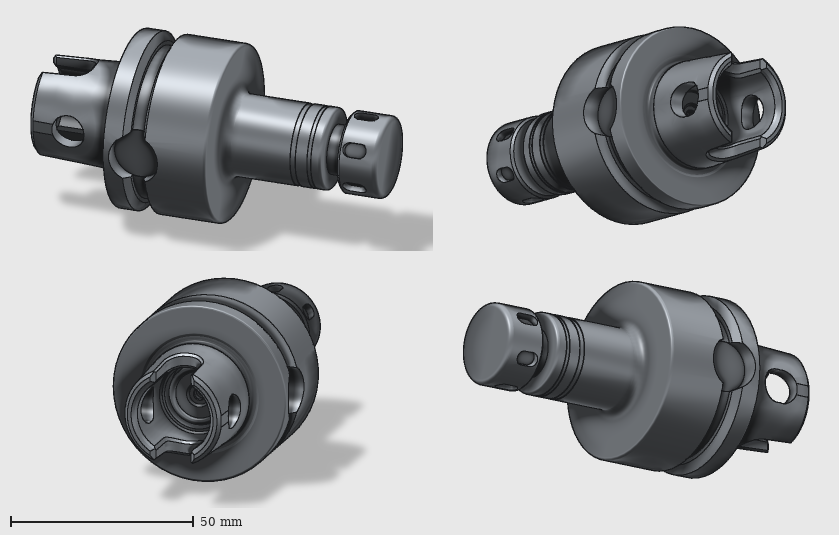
import cadquery as cq
import math

LENGTH = 100.0

ARC_MIDDLE = 1 - math.sqrt(0.5)

SELECT_MARGIN = 0.1

SHANK_TIP_RADIUS = 13.9
SHANK_END_RADIUS = 15.0
SHANK_TIP_CHAMFER = 1.0
TAPER_END = 22.9
RELIEF_START = 23.2
RELIEF_RADIUS = 14.8

BODY_RADIUS = 25.0
FLANGE_FACE = 25.1
GROOVE_START = 32.1
GROOVE_END = 35.8
GROOVE_RADIUS = 21.3
GROOVE_CHAMFER_DEPTH = 2.5
FLANGE_CHAMFER_WIDTH = 1.5
BODY_CHAMFER_WIDTH = 1.3
BODY_END = 55.0
BODY_END_FILLET = 0.9
FLANGE_EDGE_FILLET = 0.5
UNDERCUT_FILLET = 0.8
UNDERCUT_DEPTH = 0.2
UNDERCUT_FLOOR_RADIUS = 16.4
UNDERCUT_RIM_RADIUS = 17.1

NOSE_RADIUS = 11.5
NOSE_FILLET = 2.9
NOSE_END = 83.9
NOSE_END_FILLET = 0.9
RING_GROOVES = ((74.8, 76.3), (79.7, 80.8))
RING_GROOVE_DEPTH = 0.2
NECK_RADIUS = 7.0

NUT_START = 88.3
NUT_RADIUS = 11.5
NUT_BACK_CHAMFER = 0.7
NUT_FRONT_FILLET = 1.5
NUT_SLOT_COUNT = 6
NUT_SLOT_CENTER = 93.0
NUT_SLOT_LENGTH = 6.7
NUT_SLOT_WIDTH = 4.0
NUT_SLOT_DEPTH = 2.0

BORE_RADIUS = 10.5
BORE_CHAMFER_RADIUS = 11.8
BORE_CHAMFER_LENGTH = 0.8
BORE_LEAD_RADIUS = 11.0
BORE_LEAD_LENGTH = 0.8
BORE_STEP = 22.3
BORE_STEP_CHAMFER = 0.6
INNER_BORE_RADIUS = 9.2
BORE_DEPTH = 28.0
PLUG_START = 23.3
PLUG_RADIUS = 8.5
PLUG_DISH_RADIUS = 6.6
PLUG_RECESS_DIAMETER = 7.0
PLUG_RECESS_FLOOR_DIAMETER = 5.7
PLUG_RECESS_DEPTH = 0.7
PLUG_BORE_MOUTH_DIAMETER = 3.5
PLUG_BORE_DIAMETER = 3.0
PLUG_BORE_CHAMFER_DEPTH = 0.3
PLUG_BORE_DEPTH = 2.0
PLUG_TIP_DIAMETER = 1.7
PLUG_TIP_DEPTH = 0.8

DRIVE_SLOT_WIDTH = 10.0
DRIVE_SLOT_END = 13.8
DRIVE_SLOT_CORNER_RADIUS = 3.9
DRIVE_SLOT_MOUTH_CHAMFER = 1.3
DRIVE_SLOT_EDGE_CHAMFER = 0.7

CROSS_HOLE_DIAMETER = 9.5
CROSS_HOLE_CENTER = 11.3
FAR_HOLE_CENTER = 9.6
FLAT_WIDTH = 3.3

POCKET_DIAMETER = 14.2
POCKET_CENTER = 33.9
POCKET_FLOOR = 19.9


def shank_radius(x):
    """Radius of the shank taper at position x."""
    slope = (SHANK_END_RADIUS - SHANK_TIP_RADIUS) / (TAPER_END - SHANK_TIP_CHAMFER)
    return SHANK_TIP_RADIUS + slope * (x - SHANK_TIP_CHAMFER)


def cylinder(start, end, radius):
    return cq.Workplane("YZ", origin=(start, 0, 0)).circle(radius).extrude(end - start)


def revolve_profile(profile):
    return profile.close().revolve(360, (0, 0, 0), (1, 0, 0))


def rim(position, radius):
    """Selector for the circular edge of the given radius at position x."""
    return cq.selectors.BoxSelector(
        (position - SELECT_MARGIN, -radius - SELECT_MARGIN, -radius - SELECT_MARGIN),
        (position + SELECT_MARGIN, radius + SELECT_MARGIN, radius + SELECT_MARGIN),
        boundingbox=True,
    )


def holder_body():
    shoulder = BODY_RADIUS - GROOVE_CHAMFER_DEPTH
    undercut_floor = FLANGE_FACE + UNDERCUT_DEPTH
    undercut_rise = UNDERCUT_FILLET * ARC_MIDDLE
    fillet_rise = NOSE_FILLET * ARC_MIDDLE
    profile = (
        cq.Workplane("XY")
        .lineTo(0, shank_radius(0))
        .lineTo(TAPER_END, SHANK_END_RADIUS)
        .lineTo(RELIEF_START, RELIEF_RADIUS)
        .lineTo(undercut_floor - UNDERCUT_FILLET, RELIEF_RADIUS)
        .threePointArc(
            (undercut_floor - undercut_rise, RELIEF_RADIUS + undercut_rise),
            (undercut_floor, RELIEF_RADIUS + UNDERCUT_FILLET),
        )
        .lineTo(undercut_floor, UNDERCUT_FLOOR_RADIUS)
        .lineTo(FLANGE_FACE, UNDERCUT_RIM_RADIUS)
        .lineTo(FLANGE_FACE, BODY_RADIUS)
        .lineTo(GROOVE_START - FLANGE_CHAMFER_WIDTH, BODY_RADIUS)
        .lineTo(GROOVE_START, shoulder)
        .lineTo(GROOVE_START, GROOVE_RADIUS)
        .lineTo(GROOVE_END, GROOVE_RADIUS)
        .lineTo(GROOVE_END, shoulder)
        .lineTo(GROOVE_END + BODY_CHAMFER_WIDTH, BODY_RADIUS)
        .lineTo(BODY_END, BODY_RADIUS)
        .lineTo(BODY_END, NOSE_RADIUS + NOSE_FILLET)
        .threePointArc(
            (BODY_END + fillet_rise, NOSE_RADIUS + fillet_rise),
            (BODY_END + NOSE_FILLET, NOSE_RADIUS),
        )
        .lineTo(NOSE_END, NOSE_RADIUS)
        .lineTo(NOSE_END, 0)
    )
    body = revolve_profile(profile)
    for position, radius, fillet in (
        (FLANGE_FACE, BODY_RADIUS, FLANGE_EDGE_FILLET),
        (BODY_END, BODY_RADIUS, BODY_END_FILLET),
        (NOSE_END, NOSE_RADIUS, NOSE_END_FILLET),
    ):
        body = body.edges(rim(position, radius)).fillet(fillet)
    for start, end in RING_GROOVES:
        ring = cylinder(start, end, NOSE_RADIUS)
        body = body.cut(ring.cut(cylinder(start, end, NOSE_RADIUS - RING_GROOVE_DEPTH)))
    return body


def shank_bore():
    profile = (
        cq.Workplane("XY")
        .lineTo(0, BORE_RADIUS)
        .lineTo(BORE_STEP - BORE_STEP_CHAMFER, BORE_RADIUS)
        .lineTo(BORE_STEP, BORE_RADIUS - BORE_STEP_CHAMFER)
        .lineTo(BORE_STEP, INNER_BORE_RADIUS)
        .lineTo(BORE_DEPTH, INNER_BORE_RADIUS)
        .lineTo(BORE_DEPTH, 0)
    )
    return revolve_profile(profile)


def bore_mouth():
    """Two-stage lead-in at the open end of the bore."""
    profile = (
        cq.Workplane("XY")
        .lineTo(0, BORE_CHAMFER_RADIUS)
        .lineTo(BORE_CHAMFER_LENGTH, BORE_LEAD_RADIUS)
        .lineTo(BORE_CHAMFER_LENGTH + BORE_LEAD_LENGTH, BORE_RADIUS)
        .lineTo(BORE_CHAMFER_LENGTH + BORE_LEAD_LENGTH, 0)
    )
    return revolve_profile(profile)


def shank_tip_chamfer():
    """Ring cut off the outer edge of the shank tip."""
    profile = (
        cq.Workplane("XY")
        .moveTo(0, SHANK_TIP_RADIUS - SHANK_TIP_CHAMFER)
        .lineTo(SHANK_TIP_CHAMFER, SHANK_TIP_RADIUS)
        .lineTo(0, SHANK_TIP_RADIUS)
    )
    return revolve_profile(profile)


def plug():
    """Plug whose lip is a full round, with a dished end and a stepped, chamfered blind hole."""
    lip_radius = (PLUG_RADIUS - PLUG_DISH_RADIUS) / 2
    dish_floor = PLUG_START + lip_radius
    recess_floor = dish_floor + PLUG_RECESS_DEPTH
    bore_floor = recess_floor + PLUG_BORE_DEPTH
    profile = (
        cq.Workplane("XY")
        .moveTo(BORE_DEPTH, 0)
        .lineTo(BORE_DEPTH, PLUG_RADIUS)
        .lineTo(dish_floor, PLUG_RADIUS)
        .threePointArc((PLUG_START, PLUG_RADIUS - lip_radius), (dish_floor, PLUG_DISH_RADIUS))
        .lineTo(dish_floor, PLUG_RECESS_DIAMETER / 2)
        .lineTo(recess_floor, PLUG_RECESS_FLOOR_DIAMETER / 2)
        .lineTo(recess_floor, PLUG_BORE_MOUTH_DIAMETER / 2)
        .lineTo(recess_floor + PLUG_BORE_CHAMFER_DEPTH, PLUG_BORE_DIAMETER / 2)
        .lineTo(bore_floor, PLUG_BORE_DIAMETER / 2)
        .lineTo(bore_floor, PLUG_TIP_DIAMETER / 2)
        .lineTo(bore_floor + PLUG_TIP_DEPTH, 0)
    )
    return revolve_profile(profile)


def cut_drive_slot(holder):
    """Cut the slot through both shank walls, bevel its edges, then flare its mouth."""
    reach = 2 * SHANK_END_RADIUS
    half_width = DRIVE_SLOT_WIDTH / 2
    slot = (
        cq.Workplane("XY", origin=(0, 0, -reach / 2))
        .rect(2 * DRIVE_SLOT_END, DRIVE_SLOT_WIDTH)
        .extrude(reach)
        .edges("|Z")
        .fillet(DRIVE_SLOT_CORNER_RADIUS)
    )
    slotted = holder.cut(slot)
    for side in (-1, 1):
        rims = cq.selectors.BoxSelector(
            (DRIVE_SLOT_MOUTH_CHAMFER, -half_width - SELECT_MARGIN, side * BORE_RADIUS / 2),
            (DRIVE_SLOT_END + SELECT_MARGIN, half_width + SELECT_MARGIN, side * SHANK_END_RADIUS),
        )
        slotted = slotted.edges(rims).edges("not |Z").chamfer(DRIVE_SLOT_EDGE_CHAMFER)
    flare = half_width + DRIVE_SLOT_MOUTH_CHAMFER
    mouth = (
        cq.Workplane("XY", origin=(0, 0, -reach / 2))
        .moveTo(0, -flare)
        .lineTo(flare, 0)
        .lineTo(0, flare)
        .close()
        .extrude(reach)
    )
    return slotted.cut(mouth)


def cross_holes():
    """Hole through both walls, overlapped on the +Y side by an equal hole nearer the tip."""
    through = (
        cq.Workplane("XZ", origin=(CROSS_HOLE_CENTER, 0, 0))
        .circle(CROSS_HOLE_DIAMETER / 2)
        .extrude(SHANK_END_RADIUS, both=True)
    )
    far = (
        cq.Workplane("XZ", origin=(FAR_HOLE_CENTER, 0, 0))
        .circle(CROSS_HOLE_DIAMETER / 2)
        .extrude(-SHANK_END_RADIUS)
    )
    return through.union(far)


def shank_flat():
    """Flat on the -Y side that follows the taper from the tip to the cross hole."""
    depth = shank_radius(0) - math.sqrt(shank_radius(0) ** 2 - (FLAT_WIDTH / 2) ** 2)
    return (
        cq.Workplane("XY", origin=(0, 0, -FLAT_WIDTH / 2))
        .moveTo(0, depth - shank_radius(0))
        .lineTo(CROSS_HOLE_CENTER, depth - shank_radius(CROSS_HOLE_CENTER))
        .lineTo(CROSS_HOLE_CENTER, -SHANK_END_RADIUS)
        .lineTo(0, -SHANK_END_RADIUS)
        .close()
        .extrude(FLAT_WIDTH)
    )


def gripper_pocket():
    """Flat-bottomed round pocket on the -Y side of the gripper groove."""
    return (
        cq.Workplane("XZ", origin=(POCKET_CENTER, -POCKET_FLOOR, 0))
        .circle(POCKET_DIAMETER / 2)
        .extrude(BODY_RADIUS - POCKET_FLOOR)
    )


def both_sides(feature):
    """The feature together with its mirror image on the +Y side."""
    return feature.union(feature.mirror("XZ"))


def clamping_nut():
    nut = cylinder(NUT_START, LENGTH, NUT_RADIUS)
    nut = nut.faces("<X").edges().chamfer(NUT_BACK_CHAMFER)
    nut = nut.faces(">X").edges().fillet(NUT_FRONT_FILLET)
    slot = (
        cq.Workplane("XY", origin=(NUT_SLOT_CENTER, 0, NUT_RADIUS - NUT_SLOT_DEPTH))
        .slot2D(NUT_SLOT_LENGTH, NUT_SLOT_WIDTH)
        .extrude(NUT_RADIUS)
    )
    for index in range(NUT_SLOT_COUNT):
        nut = nut.cut(slot.rotate((0, 0, 0), (1, 0, 0), index * 360 / NUT_SLOT_COUNT))
    return nut


result = holder_body()
result = result.cut(shank_bore())
result = cut_drive_slot(result)
result = result.cut(bore_mouth())
result = result.cut(shank_tip_chamfer())
result = result.cut(cross_holes())
result = result.cut(both_sides(shank_flat()))
result = result.cut(both_sides(gripper_pocket()))
result = result.union(plug())
result = result.union(cylinder(NOSE_END, NUT_START, NECK_RADIUS))
result = result.union(clamping_nut())